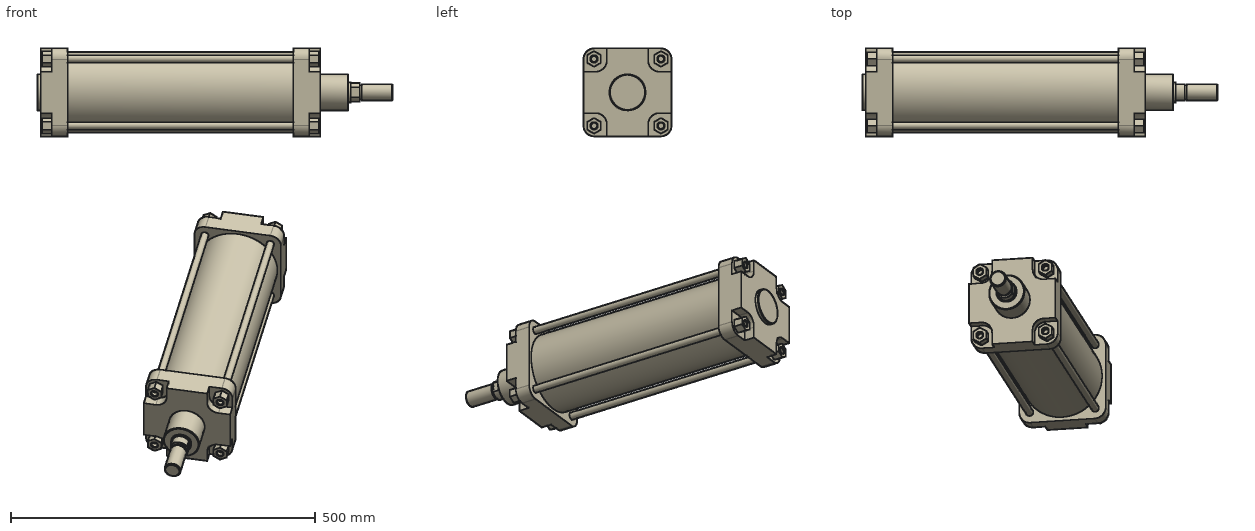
import cadquery as cq


total_length = 585.0
rear_boss_length = 6.0
body_length = 460.0

cap_width = 145.0
cap_thickness = 44.5
cap_corner_radius = 18.0
pocket_side = 38.5
pocket_depth = 18.0
pocket_radius = 19.0

boss_diameter = 59.5
boss_chamfer = 1.0
front_boss_length = 46.0
collar_diameter = 34.0
collar_length = 3.5

barrel_diameter = 133.5

rod_diameter = 31.5
rod_flats_width = 27.0
rod_shoulder_reach = 65.0
undercut_diameter = 24.0
undercut_length = 3.5
thread_diameter = 27.0
thread_chamfer = 2.0

tie_rod_spacing = 110.0
tie_rod_diameter = 12.0
nut_across_flats = 22.0
nut_length = 16.0
socket_diameter = 10.0
socket_depth = 9.0
socket_chamfer = 1.0

rear_face = rear_boss_length
front_face = rear_face + body_length
barrel_start = rear_face + cap_thickness
barrel_end = front_face - cap_thickness
collar_end = front_face + front_boss_length + collar_length
shoulder_end = front_face + rod_shoulder_reach
thread_start = shoulder_end + undercut_length
rear_pocket_floor = rear_face + pocket_depth
front_pocket_floor = front_face - pocket_depth

tie_rod_centres = [
    (side_y * tie_rod_spacing / 2, side_z * tie_rod_spacing / 2)
    for side_y in (-1, 1)
    for side_z in (-1, 1)
]


def section(x):
    """Workplane across the cylinder axis at x; its local axes are Y and Z."""
    return cq.Workplane("YZ", origin=(x, 0, 0))


def cylinder(diameter, start, end):
    return section(start).circle(diameter / 2).extrude(end - start)


def corner_pockets(start):
    """Four rounded nut pockets that open through the sides of a cap."""
    block_side = 2 * pocket_side
    block_centre = cap_width / 2
    centres = [(y * block_centre, z * block_centre) for y in (-1, 1) for z in (-1, 1)]
    return (
        section(start)
        .pushPoints(centres)
        .rect(block_side, block_side)
        .extrude(pocket_depth)
        .edges("|X")
        .fillet(pocket_radius)
    )


def cap_block(start, pocket_start):
    """Square end cap with rounded corners, nut pockets and tie-rod holes."""
    block = (
        section(start)
        .rect(cap_width, cap_width)
        .extrude(cap_thickness)
        .edges("|X")
        .fillet(cap_corner_radius)
    )
    holes = section(start).pushPoints(tie_rod_centres).circle(tie_rod_diameter / 2).extrude(cap_thickness)
    return block.cut(corner_pockets(pocket_start)).cut(holes)


def make_rear_cap():
    boss = cylinder(boss_diameter, 0, rear_face).faces("<X").chamfer(boss_chamfer)
    return cap_block(rear_face, rear_face).union(boss)


def make_front_cap():
    boss_end = front_face + front_boss_length
    boss = cylinder(boss_diameter, front_face, boss_end).faces(">X").chamfer(boss_chamfer)
    collar = cylinder(collar_diameter, boss_end, collar_end)
    rod_bore = cylinder(rod_diameter, barrel_end, collar_end)
    return cap_block(barrel_end, front_pocket_floor).union(boss).union(collar).cut(rod_bore)


def make_barrel():
    return cylinder(barrel_diameter, barrel_start, barrel_end)


def make_piston_rod():
    """Rod through the front cap, with two wrench flats, an undercut and a threaded end."""
    shank = cylinder(rod_diameter, barrel_end, collar_end)
    slab_height = 2 * rod_diameter
    flats_slab = section(collar_end).rect(rod_flats_width, slab_height).extrude(shoulder_end - collar_end)
    wrench_end = cylinder(rod_diameter, collar_end, shoulder_end).intersect(flats_slab)
    undercut = cylinder(undercut_diameter, shoulder_end, thread_start)
    thread = cylinder(thread_diameter, thread_start, total_length).faces(">X").chamfer(thread_chamfer)
    return shank.union(wrench_end).union(undercut).union(thread)


def make_tie_rod(y, z):
    """Rod joining two hexagonal nuts, each with a countersunk blind hole in its outer face."""
    rear_end = rear_pocket_floor - nut_length
    front_end = front_pocket_floor + nut_length
    rod = cylinder(tie_rod_diameter, rear_pocket_floor, front_pocket_floor)
    for nut_start in (rear_end, front_pocket_floor):
        nut = section(nut_start).polygon(6, nut_across_flats, circumscribed=True).extrude(nut_length)
        rod = rod.union(nut)
    for socket_start in (rear_end, front_end - socket_depth):
        rod = rod.cut(cylinder(socket_diameter, socket_start, socket_start + socket_depth))
    rod = rod.faces("<X or >X").edges("%CIRCLE").chamfer(socket_chamfer)
    return rod.translate((0, y, z))


rear_cap = make_rear_cap()
front_cap = make_front_cap()
barrel = make_barrel()
piston_rod = make_piston_rod()
tie_rods = [make_tie_rod(y, z).val() for y, z in tie_rod_centres]

result = cq.Compound.makeCompound(
    [rear_cap.val(), front_cap.val(), barrel.val(), piston_rod.val(), *tie_rods]
)